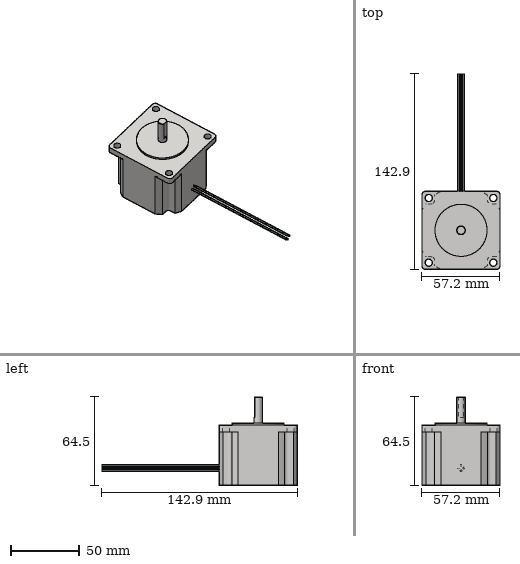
import cadquery as cq

FLANGE_SIDE = 57.15
TOTAL_HEIGHT = 64.516
OVERALL_LENGTH = 142.875

FLANGE_THICKNESS = 5.08
FLANGE_TOP = 43.942
FLANGE_CORNER_RADIUS = 2.54
PILOT_DIAMETER = 38.1
PILOT_HEIGHT = 1.524
HOLE_DIAMETER = 5.08
HOLE_SPACING = 47.244

SHOULDER_RADIUS = 32.13
NOTCH_WALL = 19.304
NOTCH_FILLET_RADIUS = 2.54

SHAFT_DIAMETER = 6.35
SHAFT_CHAMFER = 0.254
FLAT_DEPTH = 0.508
FLAT_LENGTH = 14.8

WIRE_DIAMETER = 1.27
WIRE_OFFSET = 2.032
WIRE_CENTER_HEIGHT = 12.7
WIRE_EMBED = 1.0

HALF_SIDE = FLANGE_SIDE / 2
HOUSING_HEIGHT = FLANGE_TOP - FLANGE_THICKNESS
SHAFT_LENGTH = TOTAL_HEIGHT - FLANGE_TOP
WIRE_LENGTH = OVERALL_LENGTH - FLANGE_SIDE


def make_notch():
    """Filleted square prism that notches the (+X, +Y) corner of the housing."""
    notch_side = HALF_SIDE - NOTCH_WALL
    return (
        cq.Workplane("XY")
        .box(notch_side, notch_side, HOUSING_HEIGHT, centered=False)
        .edges("|Z")
        .edges("<X and <Y")
        .fillet(NOTCH_FILLET_RADIUS)
        .translate((NOTCH_WALL, NOTCH_WALL, 0))
    )


def make_housing():
    """Square column trimmed by a coaxial cylinder, with a notch at each corner."""
    column = cq.Workplane("XY").rect(FLANGE_SIDE, FLANGE_SIDE).extrude(HOUSING_HEIGHT)
    cylinder = cq.Workplane("XY").circle(SHOULDER_RADIUS).extrude(HOUSING_HEIGHT)
    housing = column.intersect(cylinder)
    notch = make_notch()
    for quarter_turn in (0, 90, 180, 270):
        housing = housing.cut(notch.rotate((0, 0, 0), (0, 0, 1), quarter_turn))
    return housing


def make_flange():
    plate = (
        cq.Workplane("XY", origin=(0, 0, HOUSING_HEIGHT))
        .rect(FLANGE_SIDE, FLANGE_SIDE)
        .extrude(FLANGE_THICKNESS)
        .edges("|Z")
        .fillet(FLANGE_CORNER_RADIUS)
    )
    holes = (
        cq.Workplane("XY", origin=(0, 0, HOUSING_HEIGHT))
        .rect(HOLE_SPACING, HOLE_SPACING, forConstruction=True)
        .vertices()
        .circle(HOLE_DIAMETER / 2)
        .extrude(FLANGE_THICKNESS)
    )
    return plate.cut(holes)


def make_pilot():
    return (
        cq.Workplane("XY", origin=(0, 0, FLANGE_TOP))
        .circle(PILOT_DIAMETER / 2)
        .extrude(PILOT_HEIGHT)
    )


def make_shaft():
    shaft = (
        cq.Workplane("XY", origin=(0, 0, FLANGE_TOP))
        .circle(SHAFT_DIAMETER / 2)
        .extrude(SHAFT_LENGTH)
        .faces(">Z")
        .chamfer(SHAFT_CHAMFER)
    )
    flat_cutter = cq.Workplane("XY").box(
        SHAFT_DIAMETER, SHAFT_DIAMETER, FLAT_LENGTH, centered=(True, False, False)
    )
    flat_y = SHAFT_DIAMETER / 2 - FLAT_DEPTH
    return shaft.cut(flat_cutter.translate((0, flat_y, TOTAL_HEIGHT - FLAT_LENGTH)))


def make_wires():
    wire_centers = [(WIRE_OFFSET, 0), (-WIRE_OFFSET, 0), (0, WIRE_OFFSET), (0, -WIRE_OFFSET)]
    start = (0, HALF_SIDE + WIRE_LENGTH, WIRE_CENTER_HEIGHT)
    return (
        cq.Workplane("XZ", origin=start)
        .pushPoints(wire_centers)
        .circle(WIRE_DIAMETER / 2)
        .extrude(WIRE_LENGTH + WIRE_EMBED)
    )


result = (
    make_housing()
    .union(make_flange())
    .union(make_pilot())
    .union(make_shaft())
    .union(make_wires())
    .clean()
)